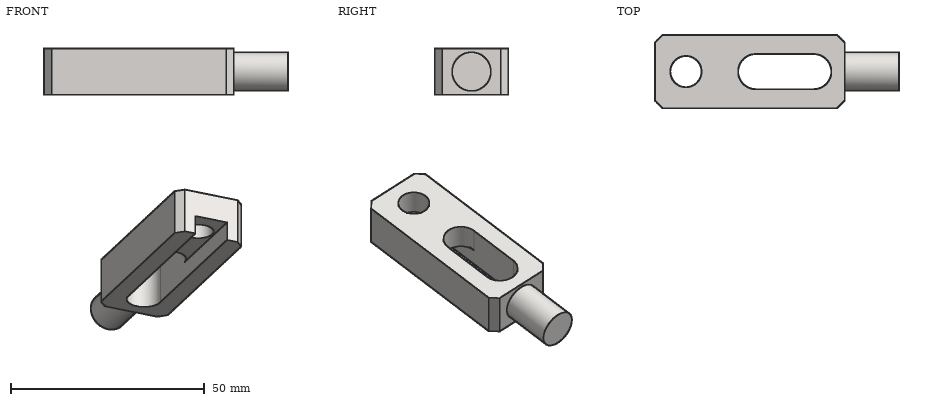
import cadquery as cq

body_length = 49.0
body_width = 19.0
body_height = 12.0
corner_chamfer = 2.0

pin_diameter = 10.0
pin_length = 14.0

hole_diameter = 8.0
hole_from_end = 8.0

slot_length = 24.0
slot_width = 9.0
slot_end_wall = 3.5
groove_depth = 5.0

slot_center_x = body_length - slot_end_wall - slot_length / 2
bottom_z = -body_height / 2


def make_body():
    """Block with its four vertical corners chamfered."""
    block = cq.Workplane("XY").box(
        body_length, body_width, body_height, centered=(False, True, True)
    )
    return block.edges("|Z").chamfer(corner_chamfer)


def make_pin():
    """Cylinder along X, standing on the +X end face."""
    end_face = cq.Workplane("YZ").workplane(offset=body_length)
    return end_face.circle(pin_diameter / 2).extrude(pin_length)


def make_hole():
    """Vertical cylinder through the full height."""
    base = cq.Workplane("XY").workplane(offset=bottom_z)
    return base.center(hole_from_end, 0).circle(hole_diameter / 2).extrude(body_height)


def make_slot():
    """Round-ended slot along X through the full height."""
    base = cq.Workplane("XY").workplane(offset=bottom_z)
    return base.center(slot_center_x, 0).slot2D(slot_length, slot_width).extrude(body_height)


def make_groove():
    """Groove in the underside, open at the -X end and running into the slot."""
    base = cq.Workplane("XY").workplane(offset=bottom_z)
    return base.rect(2 * slot_center_x, slot_width).extrude(groove_depth)


result = make_body().union(make_pin())
for cutter in (make_hole(), make_slot(), make_groove()):
    result = result.cut(cutter)